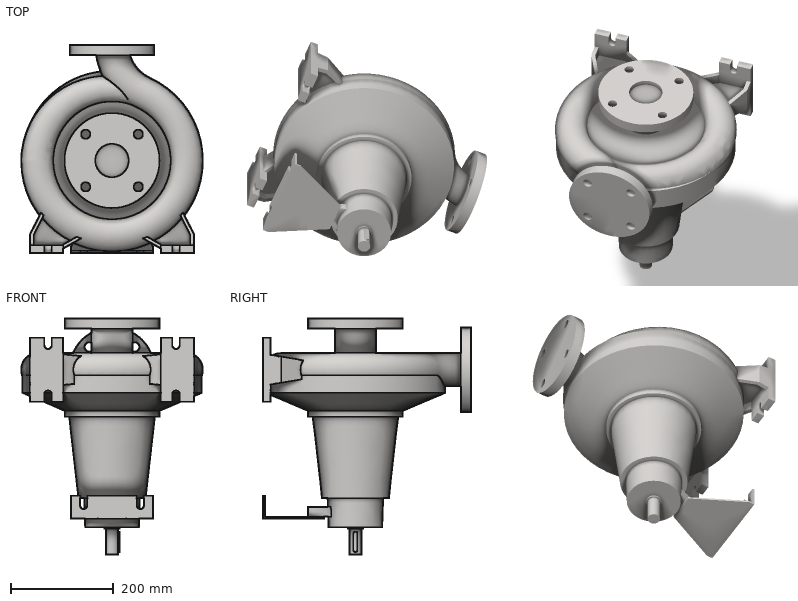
import cadquery as cq
import math


TUBE_R = 32.5
SCROLL_R = 144.5
SCROLL_INNER_R = SCROLL_R - TUBE_R
TAPER_START_ANGLE = 180.0
TAPER_END_ANGLE = 70.0
TAPER_END_TUBE_R = 24.0
TAPER_SECTIONS = 6
TAPER_POWER = 1.4

SUCTION_FACE_Z = 100.0
SUCTION_FLANGE_D = 185.0
SUCTION_BOLT_CIRCLE_D = 145.0
SUCTION_PIPE_R = 40.25
SUCTION_BORE_D = 65.0
SUCTION_BORE_DEPTH = 10.0
COVER_TOP_Z = 25.0
COVER_RIM_Z = 12.0
COVER_RIM_R = 114.5

DISCHARGE_FACE_Y = 225.0
DISCHARGE_FLANGE_D = 165.0
DISCHARGE_BOLT_CIRCLE_D = 125.0
BEND_R = (DISCHARGE_FACE_Y**2 - SCROLL_R**2) / (2 * SCROLL_R)
OUTLET_ANGLE = math.degrees(math.acos(BEND_R / (SCROLL_R + BEND_R)))

FLANGE_T = 20.0
BOLT_HOLE_D = 18.0
BOLT_COUNT = 4
FIRST_BOLT_ANGLE = 45.0

CASING_R = 175.0
CASING_BOTTOM_Z = -45.0
RIM_R = SUCTION_FLANGE_D / 2
RIM_TOP_Z = -80.0
RIM_BOTTOM_Z = -92.0
BRACKET_TOP_R = 83.5
BRACKET_BOTTOM_R = 65.5
BRACKET_BOTTOM_Z = -250.0
BEARING_TOP_R = 54.5
BEARING_BOTTOM_R = 52.5
BEARING_BOTTOM_Z = -307.0
COLLAR_R = 15.0
COLLAR_BOTTOM_Z = -310.0
SHAFT_R = 12.0
SHAFT_END_Z = -360.0
KEY_W = 8.0
KEY_REACH = 15.0
KEY_TOP_Z = -315.0
KEY_BOTTOM_Z = -355.0

BASE_Y = -180.0
SLOT_W = 14.0
FOOT_INNER_X = 95.0
FOOT_OUTER_X = 160.0
FOOT_H = 125.0
FOOT_T = 15.0
FOOT_BACK_Y = BASE_Y + FOOT_T
FOOT_SLOT_X = 124.5
FOOT_SLOT_DEPTH = 22.0
RIB_T = 8.0
RIB_BASE_HALF_H = 30.0
RIB_TIP_HALF_H = 18.0
RIB_TIP_Y = -100.0
OUTER_RIB_BEND_Y = -144.0
OUTER_RIB_TIP_X = 137.5
INNER_RIB_BASE_Y = -171.5
INNER_RIB_TIP_X = 55.0
INNER_RIB_TIP_Y = -148.5
WEB_T = 15.0

SUPPORT_HALF_W = 80.0
SUPPORT_TOP_Z = -245.0
SUPPORT_BOTTOM_Z = -290.0
SHEET_T = 4.0
SHEET_TIP_Y = -61.0
SHEET_TIP_HALF_W = 27.5
SHEET_SHOULDER_Y = -168.0
SUPPORT_SLOT_X = 55.0
SUPPORT_SLOT_DEPTH = 26.0
BLOCK_H = 19.0
BLOCK_ROOT_Y = -45.0
BLOCK_END_Y = -92.5
BLOCK_ROOT_HALF_W = 26.0
BLOCK_END_HALF_W = 8.0


def polar(radius, angle):
    """Point in the XY plane; the angle is in degrees from +X."""
    return (radius * math.cos(math.radians(angle)), radius * math.sin(math.radians(angle)))


def radial_plane(radius, angle):
    """Plane across the scroll, its normal along the anticlockwise tangent."""
    x, y = polar(radius, angle)
    tangent_x, tangent_y = polar(1, angle + 90)
    return cq.Plane(origin=(x, y, 0), xDir=(0, 0, 1), normal=(tangent_x, tangent_y, 0))


def make_flange(diameter, bolt_circle_d):
    """Flange with its outer face on z = 0, growing towards -Z."""
    flange = cq.Workplane("XY").circle(diameter / 2).extrude(-FLANGE_T)
    bolts = (
        cq.Workplane("XY")
        .polarArray(bolt_circle_d / 2, FIRST_BOLT_ANGLE, 360, BOLT_COUNT)
        .circle(BOLT_HOLE_D / 2)
        .extrude(-FLANGE_T)
    )
    return flange.cut(bolts)


def make_turned_body():
    """Suction pipe, cover, casing, bearing bracket and shaft turned about Z."""
    profile = [
        (0, SUCTION_FACE_Z - FLANGE_T),
        (SUCTION_PIPE_R, SUCTION_FACE_Z - FLANGE_T),
        (SUCTION_PIPE_R, COVER_TOP_Z),
        (COVER_RIM_R, COVER_RIM_Z),
        (SCROLL_R, 0),
        (CASING_R, 0),
        (CASING_R, CASING_BOTTOM_Z),
        (RIM_R, RIM_TOP_Z),
        (RIM_R, RIM_BOTTOM_Z),
        (BRACKET_TOP_R, RIM_BOTTOM_Z),
        (BRACKET_BOTTOM_R, BRACKET_BOTTOM_Z),
        (BEARING_TOP_R, BRACKET_BOTTOM_Z),
        (BEARING_BOTTOM_R, BEARING_BOTTOM_Z),
        (COLLAR_R, BEARING_BOTTOM_Z),
        (COLLAR_R, COLLAR_BOTTOM_Z),
        (SHAFT_R, COLLAR_BOTTOM_Z),
        (SHAFT_R, SHAFT_END_Z),
        (0, SHAFT_END_Z),
    ]
    return cq.Workplane("XZ").polyline(profile).close().revolve(360, (0, 0), (0, 1))


def make_scroll():
    """Round tube three quarters of the way round the casing, from the taper to the outlet bend."""
    sweep_angle = 360 - TAPER_START_ANGLE + OUTLET_ANGLE
    return (
        cq.Workplane(radial_plane(SCROLL_R, TAPER_START_ANGLE))
        .circle(TUBE_R)
        .revolve(sweep_angle, (0, -SCROLL_R), (1, -SCROLL_R))
    )


def make_outlet_bend():
    """Tube bending away from the scroll and meeting the discharge face square on, at x = 0."""
    return (
        cq.Workplane("XZ", origin=(0, DISCHARGE_FACE_Y, 0))
        .circle(TUBE_R)
        .revolve(OUTLET_ANGLE, (BEND_R, 0), (BEND_R, 1))
    )


def make_taper():
    """Start of the scroll: the tube shrinks towards the outlet, its inner edge staying on one circle."""
    sections = []
    for index in range(TAPER_SECTIONS + 1):
        share = index / TAPER_SECTIONS
        angle = TAPER_START_ANGLE + share * (TAPER_END_ANGLE - TAPER_START_ANGLE)
        tube_r = TUBE_R + share**TAPER_POWER * (TAPER_END_TUBE_R - TUBE_R)
        plane = radial_plane(SCROLL_INNER_R + tube_r, angle)
        sections.append(cq.Wire.makeCircle(tube_r, plane.origin, plane.zDir))
    return cq.Workplane(cq.Solid.makeLoft(sections))


def make_suction_flange():
    flange = make_flange(SUCTION_FLANGE_D, SUCTION_BOLT_CIRCLE_D)
    bore = cq.Workplane("XY").circle(SUCTION_BORE_D / 2).extrude(-SUCTION_BORE_DEPTH)
    return flange.cut(bore).translate((0, 0, SUCTION_FACE_Z))


def make_discharge_flange():
    flange = make_flange(DISCHARGE_FLANGE_D, DISCHARGE_BOLT_CIRCLE_D)
    return flange.rotate((0, 0, 0), (1, 0, 0), -90).translate((0, DISCHARGE_FACE_Y, 0))


def make_key():
    """Round-ended shaft key on the +X side."""
    length = KEY_TOP_Z - KEY_BOTTOM_Z
    middle_z = (KEY_TOP_Z + KEY_BOTTOM_Z) / 2
    return (
        cq.Workplane("YZ", origin=(0, 0, middle_z))
        .slot2D(length, KEY_W, 90)
        .extrude(KEY_REACH)
    )


def make_open_slot(x, edge_z, depth, direction, thickness):
    """Cutter for a round-ended slot running from edge_z up (1) or down (-1) through a base plate."""
    centre_z = edge_z + direction * (depth - SLOT_W / 2)
    plane = cq.Workplane("XZ", origin=(x, BASE_Y, 0))
    end = plane.center(0, centre_z).circle(SLOT_W / 2).extrude(-thickness)
    straight_l = abs(centre_z - edge_z)
    straight = plane.center(0, (edge_z + centre_z) / 2).rect(SLOT_W, straight_l).extrude(-thickness)
    return end.union(straight)


def make_foot_plate():
    """Slotted base plate of the +X foot."""
    plate = (
        cq.Workplane("XY", origin=(0, 0, -FOOT_H / 2))
        .moveTo(FOOT_INNER_X, BASE_Y)
        .lineTo(FOOT_OUTER_X, BASE_Y)
        .lineTo(FOOT_OUTER_X, FOOT_BACK_Y)
        .lineTo(FOOT_INNER_X, FOOT_BACK_Y)
        .close()
        .extrude(FOOT_H)
    )
    for edge in (1, -1):
        plate = plate.cut(make_open_slot(FOOT_SLOT_X, edge * FOOT_H / 2, FOOT_SLOT_DEPTH, -edge, FOOT_T))
    return plate


def make_foot_ribs():
    """Outer and inner ribs of the +X foot, their height shrinking away from the base plate."""
    outer_rib = [
        (FOOT_OUTER_X, FOOT_BACK_Y),
        (FOOT_OUTER_X, OUTER_RIB_BEND_Y),
        (OUTER_RIB_TIP_X, RIB_TIP_Y),
        (OUTER_RIB_TIP_X - RIB_T, RIB_TIP_Y),
        (FOOT_OUTER_X - RIB_T, OUTER_RIB_BEND_Y),
        (FOOT_OUTER_X - RIB_T, FOOT_BACK_Y),
    ]
    inner_rib = [
        (FOOT_INNER_X, INNER_RIB_BASE_Y),
        (INNER_RIB_TIP_X, INNER_RIB_TIP_Y),
        (INNER_RIB_TIP_X, INNER_RIB_TIP_Y + RIB_T),
        (FOOT_INNER_X, INNER_RIB_BASE_Y + RIB_T),
    ]
    height_limits = (
        cq.Workplane("YZ")
        .moveTo(INNER_RIB_BASE_Y, -RIB_BASE_HALF_H)
        .lineTo(RIB_TIP_Y, -RIB_TIP_HALF_H)
        .lineTo(RIB_TIP_Y, RIB_TIP_HALF_H)
        .lineTo(INNER_RIB_BASE_Y, RIB_BASE_HALF_H)
        .close()
        .extrude(FOOT_OUTER_X)
    )
    plan = cq.Workplane("XY", origin=(0, 0, -RIB_BASE_HALF_H))
    ribs = plan.polyline(outer_rib).close().extrude(2 * RIB_BASE_HALF_H)
    ribs = ribs.union(plan.polyline(inner_rib).close().extrude(2 * RIB_BASE_HALF_H))
    return ribs.intersect(height_limits)


def make_foot_web():
    """Level web between the two ribs of the +X foot, running into the casing."""
    outline = [
        (FOOT_INNER_X, FOOT_BACK_Y),
        (FOOT_OUTER_X - RIB_T, FOOT_BACK_Y),
        (FOOT_OUTER_X - RIB_T, OUTER_RIB_BEND_Y),
        (OUTER_RIB_TIP_X - RIB_T, RIB_TIP_Y),
        (INNER_RIB_TIP_X, INNER_RIB_TIP_Y + RIB_T),
    ]
    return cq.Workplane("XY", origin=(0, 0, -WEB_T / 2)).polyline(outline).close().extrude(WEB_T)


def make_rear_support():
    """Bent sheet with a slotted upright edge, joined to the bearing housing by a tapered block."""
    sheet_top_z = SUPPORT_BOTTOM_Z + SHEET_T
    sheet_outline = [
        (-SUPPORT_HALF_W, BASE_Y),
        (SUPPORT_HALF_W, BASE_Y),
        (SUPPORT_HALF_W, SHEET_SHOULDER_Y),
        (SHEET_TIP_HALF_W, SHEET_TIP_Y),
        (-SHEET_TIP_HALF_W, SHEET_TIP_Y),
        (-SUPPORT_HALF_W, SHEET_SHOULDER_Y),
    ]
    sheet_plane = cq.Workplane("XY", origin=(0, 0, SUPPORT_BOTTOM_Z))
    sheet = sheet_plane.polyline(sheet_outline).close().extrude(SHEET_T)

    upright_h = SUPPORT_TOP_Z - SUPPORT_BOTTOM_Z
    upright = (
        cq.Workplane("XZ", origin=(0, BASE_Y, SUPPORT_BOTTOM_Z + upright_h / 2))
        .rect(2 * SUPPORT_HALF_W, upright_h)
        .extrude(-SHEET_T)
    )
    for side in (1, -1):
        slot = make_open_slot(side * SUPPORT_SLOT_X, SUPPORT_TOP_Z, SUPPORT_SLOT_DEPTH, -1, SHEET_T)
        upright = upright.cut(slot)

    block_outline = [
        (-BLOCK_END_HALF_W, BLOCK_END_Y),
        (BLOCK_END_HALF_W, BLOCK_END_Y),
        (BLOCK_ROOT_HALF_W, BLOCK_ROOT_Y),
        (-BLOCK_ROOT_HALF_W, BLOCK_ROOT_Y),
    ]
    block = cq.Workplane("XY", origin=(0, 0, sheet_top_z)).polyline(block_outline).close().extrude(BLOCK_H)
    return sheet.union(upright).union(block)


foot = make_foot_plate().union(make_foot_ribs()).union(make_foot_web())

result = (
    make_turned_body()
    .union(make_scroll())
    .union(make_taper())
    .union(make_outlet_bend())
    .union(make_suction_flange())
    .union(make_discharge_flange())
    .union(make_key())
    .union(foot)
    .union(foot.mirror("YZ"))
    .union(make_rear_support())
)